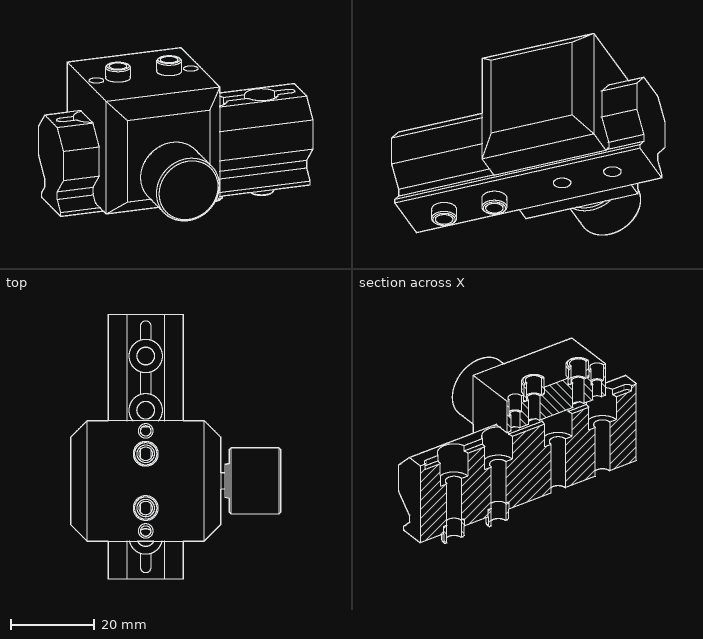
import cadquery as cq

rail_length = 63.5
rail_width = 18.05
rail_height = 22.0
neck_width = 9.0
rail_bevel = (rail_width - neck_width) / 2
side_bottom_z = 10.0
neck_top_z = side_bottom_z - rail_bevel
foot_width = 14.0
foot_edge_height = 1.0
foot_top_z = foot_edge_height + (foot_width - neck_width) / 2

hole_pitch = 13.0
middle_hole_pitch = 17.5
inner_hole_y = middle_hole_pitch / 2
outer_hole_y = inner_hole_y + hole_pitch
rail_hole_diameter = 4.2
counterbore_diameter = 8.0
counterbore_depth = 8.0
slot_width = 2.5
slot_length = 60.45
slot_depth = 1.5

carriage_width = 36.05
carriage_size = 28.95
carriage_y = -8.2
carriage_bottom_z = 2.05
carriage_top_z = carriage_bottom_z + carriage_size
end_bevel = 4.0
channel_flare = 1.85
screw_hole_diameter = 3.25
pin_hole_spacing = 24.0
pin_hole_diameter = 2.5
pin_counterbore_diameter = 3.5
pin_counterbore_depth = 4.5

knob_z = 12.95
stem_diameter = 4.0
stem_end_x = 19.0
collar_diameter = 8.0
collar_end_x = 19.55
shoulder_diameter = 8.25
shoulder_end_x = 20.0
knob_diameter = 16.0
knob_end_x = 32.45
knob_chamfer = 0.5

ring_diameter = 6.0
ring_bore = rail_hole_diameter
ring_length = 4.95
carriage_ring_protrusion = 3.0
carriage_seat_depth = ring_length - carriage_ring_protrusion
rail_ring_protrusion = 2.9
rail_seat_depth = ring_length - rail_ring_protrusion
ring_chamfer = 0.3

rail_ring_points = [(0, inner_hole_y), (0, outer_hole_y)]
carriage_ring_points = [(0, carriage_y + side * hole_pitch / 2) for side in (-1, 1)]
pin_hole_points = [(0, carriage_y + side * pin_hole_spacing / 2) for side in (-1, 1)]


def mirrored_prism(right_side, length, center_y):
    """Extrude along Y an outline given by its +X half, listed from bottom to top."""
    left_side = [(-x, z) for x, z in reversed(right_side)]
    return (
        cq.Workplane("XZ", origin=(0, center_y, 0))
        .polyline(right_side + left_side)
        .close()
        .extrude(length / 2, both=True)
    )


def cylinders_down(points, top_z, diameter, depth):
    """Vertical cylinders that reach down from top_z."""
    return (
        cq.Workplane("XY", origin=(0, 0, top_z))
        .pushPoints(points)
        .circle(diameter / 2)
        .extrude(-depth)
    )


def head_outline():
    """The +X half of the bevelled rail head, from the top of the neck to the top face."""
    return [
        (neck_width / 2, neck_top_z),
        (rail_width / 2, side_bottom_z),
        (rail_width / 2, rail_height - rail_bevel),
        (neck_width / 2, rail_height),
    ]


def make_rail():
    foot = [
        (foot_width / 2, 0),
        (foot_width / 2, foot_edge_height),
        (neck_width / 2, foot_top_z),
    ]
    hole_points = [(0, side * y) for side in (-1, 1) for y in (inner_hole_y, outer_hole_y)]
    slot = (
        cq.Workplane("XY", origin=(0, 0, rail_height))
        .slot2D(slot_length, slot_width, 90)
        .extrude(-slot_depth)
    )
    return (
        mirrored_prism(foot + head_outline(), rail_length, 0)
        .cut(slot)
        .cut(cylinders_down(hole_points, rail_height, counterbore_diameter, counterbore_depth))
        .cut(cylinders_down(hole_points, rail_height, rail_hole_diameter, rail_height))
        .cut(cylinders_down(rail_ring_points, rail_seat_depth, ring_diameter, rail_seat_depth))
    )


def make_block():
    """Block whose two X ends are bevelled on all four sides."""
    return (
        cq.Workplane("XY")
        .box(carriage_width, carriage_size, carriage_size)
        .faces("<X or >X")
        .chamfer(end_bevel)
        .translate((0, carriage_y, carriage_bottom_z + carriage_size / 2))
    )


def make_channel():
    """Space for the rail, flaring outward at the bottom to clear the rail foot."""
    mouth = [
        (neck_width / 2 + channel_flare, carriage_bottom_z),
        (neck_width / 2, carriage_bottom_z + channel_flare),
    ]
    return mirrored_prism(mouth + head_outline(), carriage_size, carriage_y)


def knob_disc(diameter, start_x, end_x):
    return (
        cq.Workplane("YZ", origin=(start_x, carriage_y, knob_z))
        .circle(diameter / 2)
        .extrude(end_x - start_x)
    )


def make_knob():
    grip = knob_disc(knob_diameter, shoulder_end_x, knob_end_x).edges().chamfer(knob_chamfer)
    return (
        knob_disc(stem_diameter, carriage_width / 2, stem_end_x)
        .union(knob_disc(collar_diameter, stem_end_x, collar_end_x))
        .union(knob_disc(shoulder_diameter, collar_end_x, shoulder_end_x))
        .union(grip)
    )


def make_carriage():
    """Carriage block in one piece with its clamping knob."""
    roof = carriage_top_z - rail_height
    return (
        make_block()
        .cut(make_channel())
        .cut(cylinders_down(carriage_ring_points, carriage_top_z, screw_hole_diameter, roof))
        .cut(cylinders_down(carriage_ring_points, carriage_top_z, ring_diameter, carriage_seat_depth))
        .cut(cylinders_down(pin_hole_points, carriage_top_z, pin_hole_diameter, roof))
        .cut(
            cylinders_down(
                pin_hole_points, carriage_top_z, pin_counterbore_diameter, pin_counterbore_depth
            )
        )
        .union(make_knob())
    )


def make_ring(point, bottom_z):
    """Centring ring with both outer rims chamfered."""
    x, y = point
    return (
        cq.Workplane("XY", origin=(x, y, bottom_z))
        .circle(ring_diameter / 2)
        .extrude(ring_length)
        .faces("<Z or >Z")
        .chamfer(ring_chamfer)
        .faces(">Z")
        .workplane()
        .hole(ring_bore)
    )


rail = make_rail()
carriage = make_carriage()
rings = [make_ring(point, -rail_ring_protrusion) for point in rail_ring_points]
rings += [make_ring(point, carriage_top_z - carriage_seat_depth) for point in carriage_ring_points]

result = cq.Compound.makeCompound([rail.val(), carriage.val(), *[ring.val() for ring in rings]])